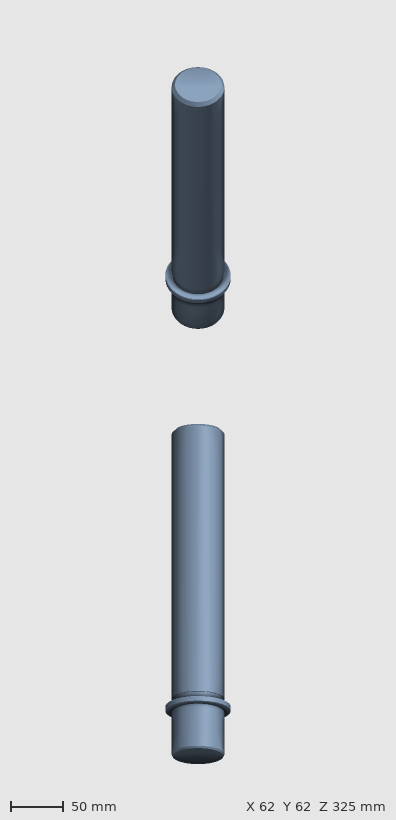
import cadquery as cq

total_length = 325
collar_bottom = 44.5
collar_thickness = 5.5
groove_top = 57.0

body_diameter = 50.0
neck_diameter = 48.0
collar_diameter = 62.0

top_chamfer = 3.2
bottom_chamfer_height = 2.0
bottom_chamfer_width = 1.0
shoulder_chamfer = 1.0
collar_chamfer = 0.5


def cylinder(diameter, bottom, top):
    """Solid cylinder on the Z axis between two heights."""
    return cq.Workplane("XY").workplane(offset=bottom).circle(diameter / 2).extrude(top - bottom)


spigot = cylinder(body_diameter, 0, collar_bottom)
spigot = spigot.faces("<Z").edges().chamfer(bottom_chamfer_height, bottom_chamfer_width)
spigot = spigot.faces(">Z").edges().chamfer(shoulder_chamfer)

collar_top = collar_bottom + collar_thickness
collar = cylinder(collar_diameter, collar_bottom, collar_top)
collar = collar.faces("|Z").edges().chamfer(collar_chamfer)
neck = cylinder(neck_diameter, collar_top, groove_top)

pin = cylinder(body_diameter, groove_top, total_length)
pin = pin.faces(">Z").edges().chamfer(top_chamfer)

result = spigot.union(collar).union(neck).union(pin)